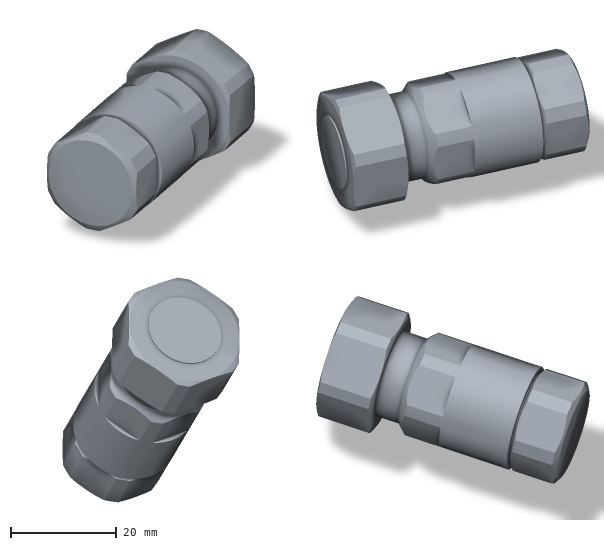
import cadquery as cq
import math

LENGTH = 48.55

SMALL_FLATS = 19.0
SMALL_CORNERS = 20.3
SMALL_FRONT_RADIUS = 8.85
SMALL_NUT_END = 9.55
SMALL_BACK_RADIUS = 9.0
SMALL_CHAMFER_ANGLE = 30.0

BODY_RADIUS = 10.3
BODY_START = 9.8
FLATS_START = 23.5
SHOULDER_END = 32.55
SHOULDER_ANGLE = 45.0
NECK_RADIUS = 8.55

LARGE_FLATS = 22.0
LARGE_CORNERS = 24.0
LARGE_NUT_START = 37.15
LARGE_NUT_END = 48.2
LARGE_FACE_RADIUS = 10.95
LARGE_CHAMFER_ANGLE = 22.0
BOSS_RADIUS = 7.25


def chamfer_height(radial_depth, angle):
    """Axial height of a cone, with the angle measured from the end face."""
    return radial_depth * math.tan(math.radians(angle))


def turned(profile):
    """Solid of revolution about the Y axis from (y, radius) points."""
    return cq.Workplane("YZ").polyline(profile).close().revolve(360, (0, 0, 0), (1, 0, 0))


def hexagon(across_flats, start, end):
    """Hexagonal bar along Y with two of its flats facing +X and -X."""
    across_points = across_flats / math.cos(math.radians(30))
    plane = cq.Workplane("XZ", origin=(0, start, 0)).transformed(rotate=(0, 0, 30))
    return plane.polygon(6, across_points).extrude(start - end)


def nut(across_flats, across_corners, start, end, start_radius, end_radius, angle):
    """Hexagonal nut with flattened corners and a conical chamfer at both ends."""
    corner_flats = hexagon(across_corners, start, end).rotate((0, 0, 0), (0, 1, 0), 30)
    outer_radius = across_flats / math.sqrt(3)
    envelope = turned([
        (start, 0),
        (start, start_radius),
        (start + chamfer_height(outer_radius - start_radius, angle), outer_radius),
        (end - chamfer_height(outer_radius - end_radius, angle), outer_radius),
        (end, end_radius),
        (end, 0),
    ])
    return hexagon(across_flats, start, end).intersect(corner_flats).intersect(envelope)


def turned_core():
    """Groove behind the small nut, round body, shoulder, neck and rear boss in one turning."""
    shoulder_start = SHOULDER_END - chamfer_height(BODY_RADIUS - NECK_RADIUS, SHOULDER_ANGLE)
    return turned([
        (SMALL_NUT_END, 0),
        (SMALL_NUT_END, SMALL_BACK_RADIUS),
        (BODY_START, SMALL_BACK_RADIUS),
        (BODY_START, BODY_RADIUS),
        (shoulder_start, BODY_RADIUS),
        (SHOULDER_END, NECK_RADIUS),
        (LARGE_NUT_START, NECK_RADIUS),
        (LARGE_NUT_START, BOSS_RADIUS),
        (LENGTH, BOSS_RADIUS),
        (LENGTH, 0),
    ])


def wrench_flat_cutter():
    """Material outside the hexagon between the start of the flats and the end of the shoulder."""
    blank = hexagon(2 * SMALL_FLATS, FLATS_START, SHOULDER_END)
    return blank.cut(hexagon(SMALL_FLATS, FLATS_START, SHOULDER_END))


small_nut = nut(
    SMALL_FLATS, SMALL_CORNERS, 0, SMALL_NUT_END,
    SMALL_FRONT_RADIUS, SMALL_BACK_RADIUS, SMALL_CHAMFER_ANGLE,
)
large_nut = nut(
    LARGE_FLATS, LARGE_CORNERS, LARGE_NUT_START, LARGE_NUT_END,
    LARGE_FACE_RADIUS, LARGE_FACE_RADIUS, LARGE_CHAMFER_ANGLE,
)

result = turned_core().cut(wrench_flat_cutter()).union(small_nut).union(large_nut)